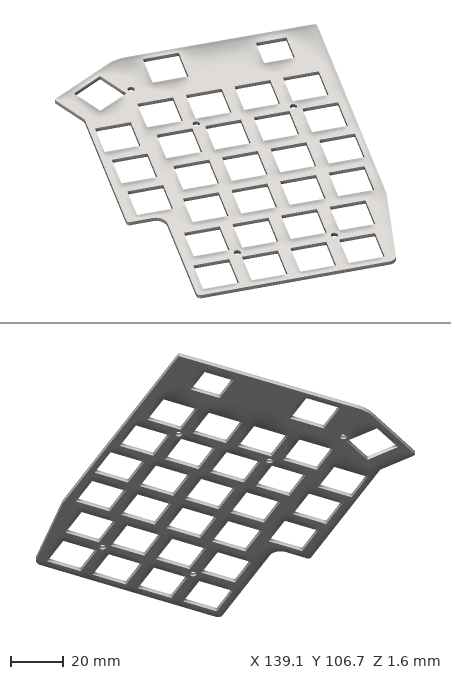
import cadquery as cq
import math

length = 139.06
width = 106.72
thickness = 1.6

key_pitch = 19.0
switch_size = 14.0
column_count = 6
row_count = 4
first_column_x = -35.65
first_column_top_y = 40.0
column_stagger = [0.0, 2.375, 3.8, 2.375, -2.375, -3.85]

thumb_stagger = [0.0, 1.425, 2.375]
thumb_drop = 0.15
first_thumb_x = first_column_x + key_pitch / 2
first_thumb_y = first_column_top_y - row_count * key_pitch - thumb_drop
thumb_angle = 30.0
tilted_thumb_center = (-52.05, -35.95)

encoder_center = (-59.8, -8.25)
display_center = (-58.6, 34.3)
display_size = 12.0

screw_diameter = 2.7
screw_pair_spacing = 2 * key_pitch
left_screw_x = -25.8
left_screw_top_y = 32.5
right_screw_x = 49.5
right_screw_top_y = 28.1
thumb_screw = (-51.3, -24.1)

left_x = -length / 2
right_x = length / 2
top_y = width / 2
tip_y = -width / 2
top_left_x = -69.2
tip_x = -53.2
left_lean_end_y = -20.5
thumb_edge_y = -45.55
step_x = 22.1
step_y = -30.95
slope_start_x = 31.6
slope_end_y = 46.95
thumb_bend_radius = 14.0
tip_radius = 0.75
step_radius = 4.5
thumb_corner_radius = 1.25
lower_right_radius = 1.75
upper_right_radius = 3.0


def outline_plate():
    """Plate blank with its rounded corners."""
    angle = math.radians(thumb_angle)
    tilt = math.tan(angle)
    tip = (tip_x, tip_y - tip_radius * (math.cos(angle) + math.sin(angle) - 1))
    bend = (left_x, tip[1] + (tip_x - left_x) / tilt)
    thumb_corner_x = tip_x + (thumb_edge_y - tip[1]) / tilt
    thumb_corner = (step_x, thumb_edge_y)
    step_corner = (step_x, step_y)
    lower_right = (right_x, step_y)
    upper_right = (right_x, slope_end_y)
    plate = (
        cq.Workplane("XY")
        .moveTo(top_left_x, top_y)
        .lineTo(left_x, left_lean_end_y)
        .lineTo(*bend)
        .lineTo(*tip)
        .lineTo(thumb_corner_x, thumb_edge_y)
        .lineTo(*thumb_corner)
        .lineTo(*step_corner)
        .lineTo(*lower_right)
        .lineTo(*upper_right)
        .lineTo(slope_start_x, top_y)
        .close()
        .extrude(thickness)
    )
    rounded_corners = [
        (bend, thumb_bend_radius),
        (tip, tip_radius),
        (thumb_corner, thumb_corner_radius),
        (step_corner, step_radius),
        (lower_right, lower_right_radius),
        (upper_right, upper_right_radius),
    ]
    for (x, y), radius in rounded_corners:
        corner_edge = cq.selectors.NearestToPointSelector((x, y, thickness / 2))
        plate = plate.edges("|Z").edges(corner_edge).fillet(radius)
    return plate


def square_cutter(centers, size, angle=0.0):
    """Square prisms through the plate, each turned about its own centre."""
    return (
        cq.Workplane("XY")
        .pushPoints(centers)
        .eachpoint(
            cq.Workplane("XY")
            .rect(size, size)
            .extrude(thickness)
            .rotate((0, 0, 0), (0, 0, 1), angle)
            .val()
        )
    )


def switch_centers():
    """Centres of all upright switch openings."""
    centers = [encoder_center]
    for column in range(column_count):
        x = first_column_x + column * key_pitch
        column_top_y = first_column_top_y + column_stagger[column]
        for row in range(row_count):
            centers.append((x, column_top_y - row * key_pitch))
    for index, stagger in enumerate(thumb_stagger):
        centers.append((first_thumb_x + index * key_pitch, first_thumb_y + stagger))
    return centers


def screw_centers():
    """Centres of the mounting holes."""
    centers = [thumb_screw]
    for x, y in [(left_screw_x, left_screw_top_y), (right_screw_x, right_screw_top_y)]:
        centers.append((x, y))
        centers.append((x, y - screw_pair_spacing))
    return centers


def screw_cutter():
    """Round cutters for the mounting holes."""
    return cq.Workplane("XY").pushPoints(screw_centers()).circle(screw_diameter / 2).extrude(thickness)


result = (
    outline_plate()
    .cut(square_cutter(switch_centers(), switch_size))
    .cut(square_cutter([tilted_thumb_center], switch_size, thumb_angle))
    .cut(square_cutter([display_center], display_size))
    .cut(screw_cutter())
)